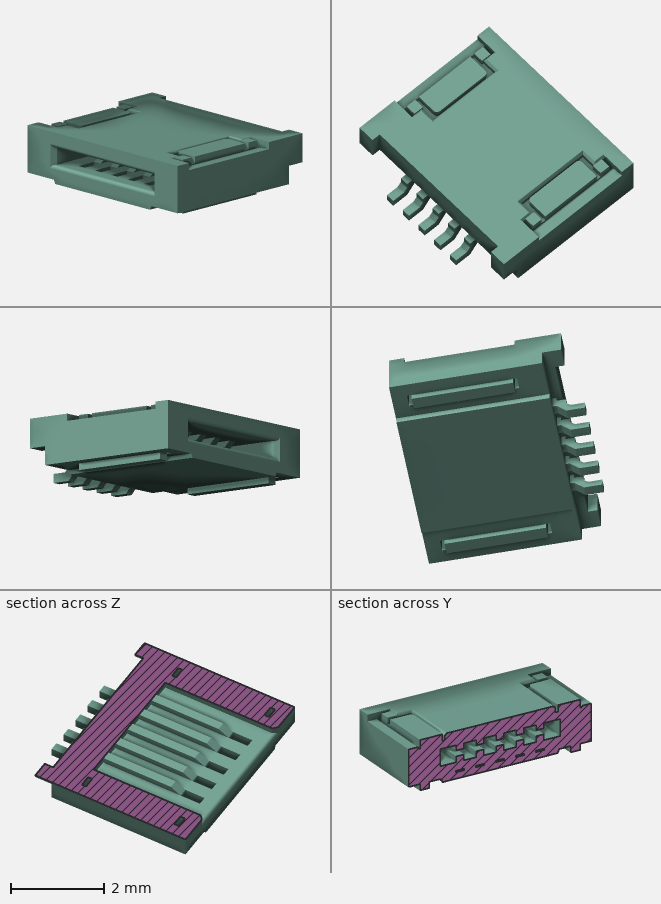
import cadquery as cq


width = 4.6
height = 1.2
body_bottom = 0.145
keel_bottom = 0.06
keel_half_width = 1.445
keel_flare = 0.045
body_depth = 3.345
rear_depth = 3.755
rear_overhang_bottom = 0.555
rear_recess_depth = 3.545
rear_recess_half_width = 1.885

opening_width = 3.192
opening_bottom = 0.375
opening_top = 0.935
lead_in_side = 0.095
lead_in_radius = 0.085
cavity_depth = 2.76
cavity_bottom = opening_bottom + lead_in_radius
cavity_top = opening_top - lead_in_radius
cavity_width = opening_width - 2 * lead_in_side

contact_count = 5
contact_pitch = 0.5
contact_width = 0.2
groove_front = 0.355
groove_bottom = 0.225
overall_depth = 4.05
tail_thickness = 0.2
tail_foot_start = 3.74
tail_bend = 3.645
tail_bottom = 0.25
spine_back = 3.43
arm_tip = 0.83
lower_arm_slope_run = 0.25
upper_arm_slope_run = 0.125
lower_arm_top = 0.6
upper_arm_bottom = 0.725

slot_outer = 2.015
slot_inner = 1.765
slot_front = 0.335
slot_back = 2.74
pocket_inner = 1.395
pocket_front = 0.645
pocket_back = 2.435
pocket_floor = 1.045
pocket_chamfer = 0.055
plate_front = 0.44
plate_back = 2.65
post_length = 0.25
block_inner = 1.45
block_front = 0.8
block_back = 2.295
block_corner = 0.09


def box(x_range, y_range, z_range):
    """Axis-aligned box between the given limits."""
    size = [limits[1] - limits[0] for limits in (x_range, y_range, z_range)]
    corner = (x_range[0], y_range[0], z_range[0])
    return cq.Workplane("XY").box(*size, centered=False).translate(corner)


def along_y(outline, y_start, y_end):
    """Extrude an XZ outline from y_start to y_end."""
    plane = cq.Workplane("XZ", origin=(0, y_start, 0))
    return plane.polyline(outline).close().extrude(y_start - y_end)


def both_sides(left_part):
    """The left-hand part together with its mirror image."""
    return left_part.union(left_part.mirror("YZ"))


def make_housing():
    """Body with a keel below and a recessed overhang along the rear."""
    half = width / 2
    keel_top_half = keel_half_width + keel_flare
    cross_section = [
        (-half, height),
        (half, height),
        (half, body_bottom),
        (keel_top_half, body_bottom),
        (keel_half_width, keel_bottom),
        (-keel_half_width, keel_bottom),
        (-keel_top_half, body_bottom),
        (-half, body_bottom),
    ]
    main = along_y(cross_section, 0, body_depth)
    overhang = box((-half, half), (body_depth, rear_depth), (rear_overhang_bottom, height))
    recess = box(
        (-rear_recess_half_width, rear_recess_half_width),
        (rear_recess_depth, rear_depth),
        (rear_overhang_bottom, height),
    )
    return main.union(overhang).cut(recess)


def make_cable_opening():
    """Cavity with rounded lips above and below and bevelled lips at the sides."""
    half = opening_width / 2
    radius = lead_in_radius
    side_profile = (
        cq.Workplane("YZ", origin=(-half, 0, 0))
        .moveTo(0, opening_bottom)
        .radiusArc((radius, cavity_bottom), radius)
        .lineTo(cavity_depth, cavity_bottom)
        .lineTo(cavity_depth, cavity_top)
        .lineTo(radius, cavity_top)
        .radiusArc((0, opening_top), radius)
        .close()
        .extrude(opening_width)
    )
    inner_half = cavity_width / 2
    plan_outline = [
        (-half, 0),
        (half, 0),
        (inner_half, lead_in_side),
        (inner_half, cavity_depth),
        (-inner_half, cavity_depth),
        (-inner_half, lead_in_side),
    ]
    plan = cq.Workplane("XY").polyline(plan_outline).close().extrude(height)
    return side_profile.intersect(plan)


def make_contact(x):
    """Forked contact: two arms in the cavity, a spine in the rear wall and a bent tail."""
    tail_top = tail_bottom + tail_thickness
    outline = [
        (arm_tip, tail_bottom),
        (spine_back, tail_bottom),
        (tail_bend, 0),
        (overall_depth, 0),
        (overall_depth, tail_thickness),
        (tail_foot_start, tail_thickness),
        (tail_bend, tail_thickness + tail_foot_start - tail_bend),
        (tail_bend, tail_top),
        (spine_back, tail_top),
        (spine_back, cavity_top),
        (arm_tip, cavity_top),
        (arm_tip + upper_arm_slope_run, upper_arm_bottom),
        (cavity_depth, upper_arm_bottom),
        (cavity_depth, lower_arm_top),
        (arm_tip + lower_arm_slope_run, lower_arm_top),
        (arm_tip, cavity_bottom),
    ]
    plane = cq.Workplane("YZ", origin=(x - contact_width / 2, 0, 0))
    return plane.polyline(outline).close().extrude(contact_width)


def make_contact_groove(x):
    """Groove in the cavity floor that frees the lower contact arm."""
    half = contact_width / 2
    return box((x - half, x + half), (groove_front, cavity_depth), (groove_bottom, cavity_bottom))


def make_left_pocket():
    """Through slot, lowered side wall and plate recess, with bevelled top edges."""
    step = pocket_chamfer
    slot_outline = [
        (-width / 2, height),
        (-slot_inner + step, height),
        (-slot_inner, height - step),
        (-slot_inner, 0),
        (-slot_outer, 0),
        (-slot_outer, pocket_floor - step),
        (-slot_outer - step, pocket_floor),
        (-width / 2, pocket_floor),
    ]
    slot = along_y(slot_outline, slot_front, slot_back)
    recess = box((-slot_outer, -pocket_inner), (pocket_front, pocket_back), (pocket_floor, height))
    bevel = (
        cq.Workplane("XY", origin=(0, 0, height))
        .moveTo(-slot_outer, pocket_front - step)
        .lineTo(-pocket_inner + step, pocket_front - step)
        .lineTo(-pocket_inner + step, pocket_back + step)
        .lineTo(-slot_outer, pocket_back + step)
        .close()
        .extrude(-step, taper=45)
    )
    return slot.union(recess).union(bevel)


def make_left_plate():
    """Hold-down plate: solder foot below, two posts and a rounded block on top."""
    x_range = (-slot_outer, -slot_inner)
    plate = box(x_range, (plate_front, plate_back), (0, pocket_floor))
    front_post = box(x_range, (plate_front, plate_front + post_length), (pocket_floor, height))
    back_post = box(x_range, (plate_back - post_length, plate_back), (pocket_floor, height))
    block = box((-slot_outer, -block_inner), (block_front, block_back), (pocket_floor, height))
    block = block.edges("|Z and >X").fillet(block_corner)
    return plate.union(front_post).union(back_post).union(block)


contact_positions = [(i - (contact_count - 1) / 2) * contact_pitch for i in range(contact_count)]

result = make_housing().cut(make_cable_opening())
for x in contact_positions:
    result = result.cut(make_contact_groove(x))
for x in contact_positions:
    result = result.union(make_contact(x))
result = result.cut(both_sides(make_left_pocket()))
result = result.union(both_sides(make_left_plate()))